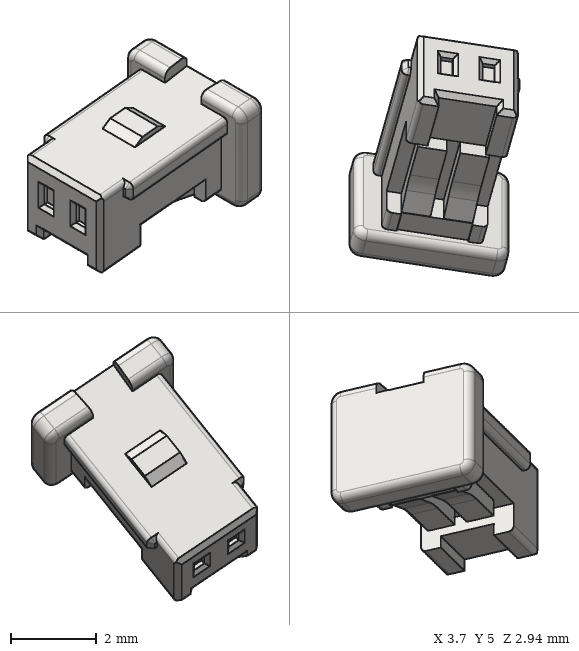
import cadquery as cq
import math

flange_width = 3.7
flange_height = 2.94
rear_y = 5.0
flange_front_y = 4.19
flange_corner_radius = 0.3
flange_edge_radius = 0.2

body_width = 2.41
body_bottom = 0.28
body_top = 2.605
body_edge_radius = 0.135
front_chamfer = 0.13

rail_width = 2.81
rail_front_y = 0.8
rail_bottom = 2.09

notch_front_width = 1.14
notch_rear_width = 1.23

bump_width = 1.02
bump_top = 2.76
bump_front_y = 1.965
bump_rear_y = 3.01
bump_flat_front_y = 2.23
bump_flat_rear_y = 2.755

window_front_y = 1.4
window_rear_y = 3.65
window_top = 1.0

relief_top = 0.335

slot_width = 1.38
slot_top = 0.58

latch_width = 1.7
latch_gap = 0.315
latch_front_y = 1.75
latch_bottom = 0.585
latch_tip = 0.35
latch_slope_start = 0.52
latch_slope_angle = math.radians(17)

contact_pitch = 1.0
contact_center_z = 1.67
contact_width = 0.29
contact_height = 0.58
contact_depth = 0.2
contact_lead_in = 0.1


def block(width, y_start, y_end, z_start, z_end):
    """Box centred on X = 0 between the given Y and Z limits."""
    box = cq.Workplane("XY").box(width, y_end - y_start, z_end - z_start, centered=(True, False, False))
    return box.translate((0, y_start, z_start))


def make_flange():
    flange = block(flange_width, flange_front_y, rear_y, 0, flange_height)
    flange = flange.edges("|Y").fillet(flange_corner_radius)
    flange = flange.faces("<Y or >Y").edges().fillet(flange_edge_radius)
    notch = (
        cq.Workplane("XY", origin=(0, 0, body_top))
        .polyline([
            (-notch_front_width / 2, flange_front_y),
            (notch_front_width / 2, flange_front_y),
            (notch_rear_width / 2, rear_y),
            (-notch_rear_width / 2, rear_y),
        ])
        .close()
        .extrude(flange_height - body_top)
    )
    return flange.cut(notch)


def make_body():
    body = block(body_width, 0, flange_front_y, body_bottom, body_top)
    rounded_body = body.edges("|Y").fillet(body_edge_radius)
    body = body.cut(block(slot_width, 0, window_front_y, body_bottom, slot_top))
    body = body.faces("<Y").edges().chamfer(front_chamfer).intersect(rounded_body)
    window = block(body_width, window_front_y, window_rear_y, body_bottom, window_top)
    relief = block(latch_width, window_rear_y, flange_front_y, body_bottom, relief_top)
    return body.cut(window).cut(relief)


def make_rails():
    rails = block(rail_width, rail_front_y, flange_front_y, rail_bottom, body_top)
    rails = rails.edges("|Y").fillet(body_edge_radius)
    return rails.faces("<Y").edges().chamfer(front_chamfer)


def make_bump():
    return (
        cq.Workplane("YZ")
        .polyline([
            (bump_front_y, body_top),
            (bump_rear_y, body_top),
            (bump_flat_rear_y, bump_top),
            (bump_flat_front_y, bump_top),
        ])
        .close()
        .extrude(bump_width / 2, both=True)
    )


def make_latches():
    slope_start_y = window_rear_y - (latch_slope_start - latch_tip) / math.tan(latch_slope_angle)
    arc_drop = latch_bottom - latch_slope_start
    arc_start_y = slope_start_y - arc_drop / math.tan(latch_slope_angle / 2)
    latch = (
        cq.Workplane("YZ")
        .moveTo(latch_front_y, window_top)
        .lineTo(latch_front_y, latch_bottom)
        .lineTo(arc_start_y, latch_bottom)
        .tangentArcPoint((slope_start_y, latch_slope_start), relative=False)
        .lineTo(window_rear_y, latch_tip)
        .lineTo(window_rear_y, window_top)
        .close()
        .extrude(latch_width / 2, both=True)
    )
    return latch.cut(block(latch_gap, latch_front_y, window_rear_y, latch_tip, window_top))


def make_contact_opening(center_x):
    cavity = block(contact_width, 0, contact_depth, -contact_height / 2, contact_height / 2)
    lead_in = (
        cq.Workplane("XZ")
        .rect(contact_width + 2 * contact_lead_in, contact_height + 2 * contact_lead_in)
        .workplane(offset=-contact_lead_in)
        .rect(contact_width, contact_height)
        .loft(ruled=True)
    )
    return cavity.union(lead_in).translate((center_x, 0, contact_center_z))


result = make_body()
for feature in (make_rails(), make_flange(), make_bump(), make_latches()):
    result = result.union(feature)
for side in (-1, 1):
    result = result.cut(make_contact_opening(side * contact_pitch / 2))